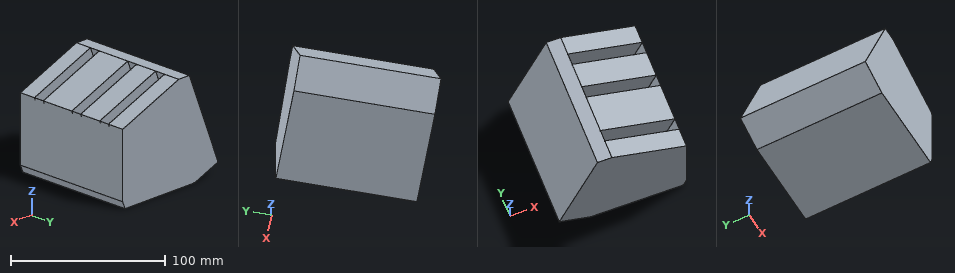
import cadquery as cq
import math

length = 88.3
width = 93.0
height = 76.2

lean_angle = 21.4
lean = math.tan(math.radians(lean_angle))
front_edge_height = 8.55
top_flat_length = 10.0
rear_bevel_height = 5.6

slot_width = 8.0
shallow_depth = 25.7
deep_depth = 50.9
slots = [(16.9, deep_depth), (50.8, shallow_depth), (76.0, shallow_depth)]

ridge_x = (height - front_edge_height) * lean + top_flat_length
rear_top_height = height - (length - ridge_x) * lean
slope_length = math.hypot(length - ridge_x, height - rear_top_height)


def make_block():
    """Extrude the side profile across the whole width."""
    outline = [
        (0, front_edge_height),
        (ridge_x - top_flat_length, height),
        (ridge_x, height),
        (length, rear_top_height),
        (length, rear_bevel_height),
        (length - rear_bevel_height * lean, 0),
        (front_edge_height / lean, 0),
    ]
    return cq.Workplane("XZ").polyline(outline).close().extrude(-width)


def make_slot(centre_y, depth):
    """Box reaching from the ridge to the rear edge, tilted about the ridge."""
    box = cq.Workplane("XY").box(slope_length, slot_width, depth, centered=(False, True, False))
    box = box.translate((0, 0, -depth))
    box = box.rotate((0, 0, 0), (0, 1, 0), lean_angle)
    return box.translate((ridge_x, centre_y, height))


result = make_block()
for slot_centre, slot_depth in slots:
    result = result.cut(make_slot(slot_centre, slot_depth))